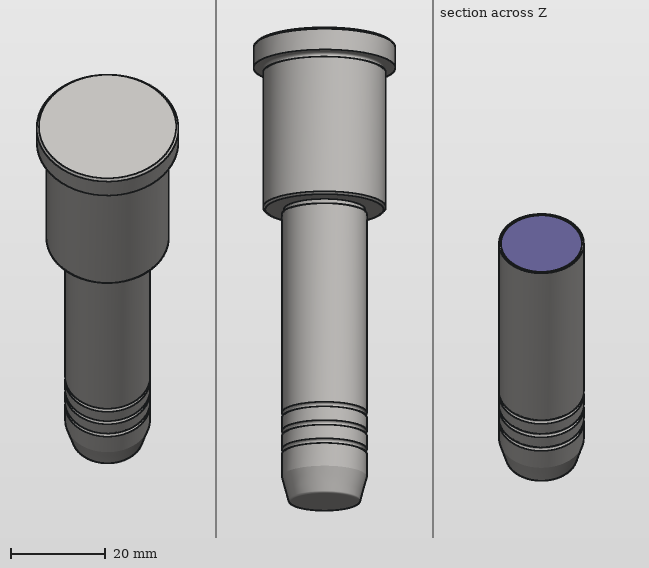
import cadquery as cq
import math

total_length = 100.0
head_diameter = 30.0
head_height = 5.0
head_chamfer = 0.5
body_diameter = 26.0
body_bottom = 64.0
body_chamfer = 0.5
shaft_diameter = 18.0

relief_depth = 0.4
relief_height = 1.0

groove_count = 3
groove_pitch = 4.0
lowest_groove_center = 11.0
groove_radius = 0.5

taper_height = 5.5
taper_angle = 15.0
tip_fillet = 0.5


def cylinder(diameter, bottom, top):
    return cq.Workplane("XY").workplane(offset=bottom).circle(diameter / 2).extrude(top - bottom)


def make_groove(diameter, center):
    """Ring with a round section, centred on a cylinder surface."""
    surface = diameter / 2
    return (
        cq.Workplane("XZ")
        .moveTo(surface, center - groove_radius)
        .threePointArc((surface - groove_radius, center), (surface, center + groove_radius))
        .close()
        .revolve(360, (0, 0), (0, 1))
    )


def make_head():
    head = cylinder(head_diameter, total_length - head_height, total_length)
    return head.faces(">Z").edges().chamfer(head_chamfer)


def make_body():
    body_top = total_length - head_height
    body = cylinder(body_diameter, body_bottom, body_top)
    body = body.faces("<Z").edges().chamfer(body_chamfer)
    return body.cut(make_groove(body_diameter, body_top - groove_radius))


def make_shaft():
    shaft_radius = shaft_diameter / 2
    shaft_top = body_bottom - relief_height
    tip_radius = shaft_radius - taper_height * math.tan(math.radians(taper_angle))
    shaft = (
        cq.Workplane("XZ")
        .lineTo(tip_radius, 0)
        .lineTo(shaft_radius, taper_height)
        .lineTo(shaft_radius, shaft_top)
        .lineTo(0, shaft_top)
        .close()
        .revolve(360, (0, 0), (0, 1))
        .faces("<Z")
        .edges()
        .fillet(tip_fillet)
    )
    neck = cylinder(shaft_diameter - 2 * relief_depth, shaft_top, body_bottom)
    return shaft.union(neck)


result = make_shaft().union(make_body()).union(make_head())
for index in range(groove_count):
    result = result.cut(make_groove(shaft_diameter, lowest_groove_center + index * groove_pitch))